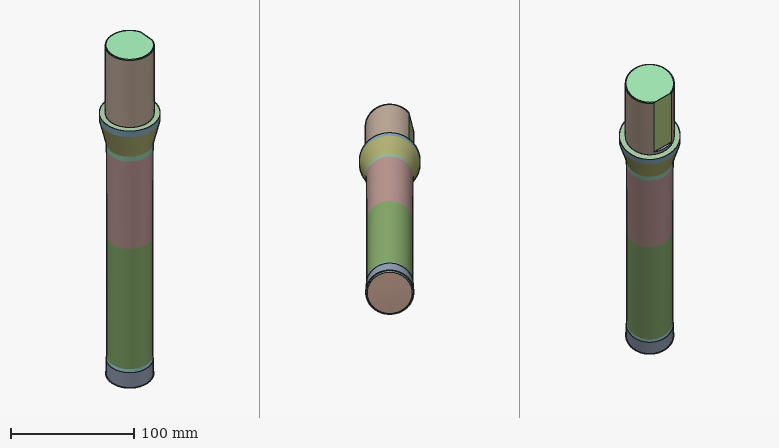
import cadquery as cq

TOTAL_LENGTH = 338.0
TIP_HEIGHT = 0.7
LIP_HEIGHT = 2.0
HEAD_TOP = 17.2
NECK_BOTTOM = 20.3
NECK_TOP = 143.3
TAPER_TOP = 233.0
FLARE_BOTTOM = 238.0
COLLAR_BOTTOM = 262.3
COLLAR_TOP = 268.7
FLAT_BOTTOM = 272.0

NECK_DIAMETER = 37.5
BODY_DIAMETER = 38.2
LIP_DIAMETER = 39.2
SHANK_DIAMETER = 40.0
COLLAR_DIAMETER = 49.5

LIP_CHAMFER = 1.5
END_FACE_DIAMETER = LIP_DIAMETER - 2 * LIP_CHAMFER
SHANK_CHAMFER = 0.7
FLAT_DISTANCE = 18.0


def revolve_profile(points):
    """Revolve a closed (radius, height) outline around the Z axis."""
    return cq.Workplane("XZ").polyline(points).close().revolve(360, (0, 0, 0), (0, 1, 0))


def make_cutting_head():
    """Short cylinder with a slightly wider cutting edge and a convex end face."""
    return revolve_profile([
        (0, 0),
        (END_FACE_DIAMETER / 2, TIP_HEIGHT),
        (LIP_DIAMETER / 2, LIP_HEIGHT),
        (BODY_DIAMETER / 2, LIP_HEIGHT),
        (BODY_DIAMETER / 2, HEAD_TOP),
        (0, HEAD_TOP),
    ])


def make_shank_flat():
    """Material removed from the +Y side of the shank, above the collar."""
    return (
        cq.Workplane("XY", origin=(0, FLAT_DISTANCE, FLAT_BOTTOM))
        .rect(SHANK_DIAMETER, SHANK_DIAMETER)
        .extrude(TOTAL_LENGTH - FLAT_BOTTOM)
        .translate((0, SHANK_DIAMETER / 2, 0))
    )


def make_holder():
    """Neck, slender taper, flared collar and clamping shank in one piece."""
    turned = revolve_profile([
        (0, HEAD_TOP),
        (BODY_DIAMETER / 2, HEAD_TOP),
        (NECK_DIAMETER / 2, NECK_BOTTOM),
        (NECK_DIAMETER / 2, NECK_TOP),
        (BODY_DIAMETER / 2, TAPER_TOP),
        (BODY_DIAMETER / 2, FLARE_BOTTOM),
        (COLLAR_DIAMETER / 2, COLLAR_BOTTOM),
        (COLLAR_DIAMETER / 2, COLLAR_TOP),
        (SHANK_DIAMETER / 2, COLLAR_TOP),
        (SHANK_DIAMETER / 2, TOTAL_LENGTH - SHANK_CHAMFER),
        (SHANK_DIAMETER / 2 - SHANK_CHAMFER, TOTAL_LENGTH),
        (0, TOTAL_LENGTH),
    ])
    return turned.cut(make_shank_flat())


cutting_head = make_cutting_head()
holder = make_holder()

result = cq.Compound.makeCompound([cutting_head.val(), *holder.solids().vals()])